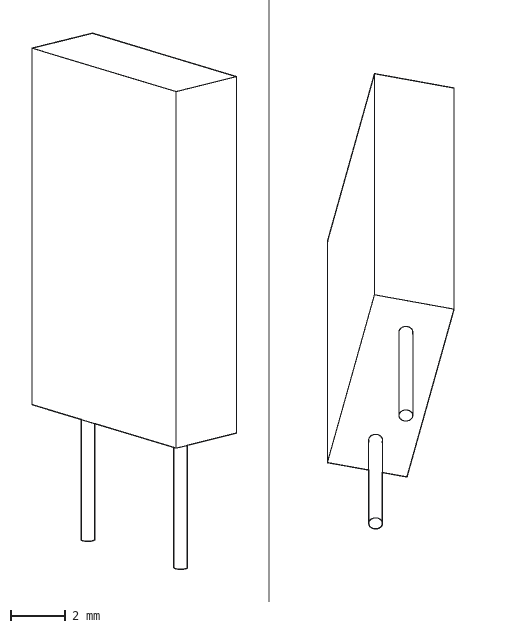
import cadquery as cq

total_height = 18.8
body_width = 7.9
body_depth = 3.0
body_height = 13.65

lead_diameter = 0.5
lead_spacing = 5.08
lead_length = total_height - body_height


def make_body():
    """Rectangular case standing on the plane Z = 0."""
    return cq.Workplane("XY").box(body_width, body_depth, body_height, centered=(True, True, False))


def make_lead(x):
    """Straight round lead hanging from the underside of the case."""
    return cq.Workplane("XY").center(x, 0).circle(lead_diameter / 2).extrude(-lead_length)


body = make_body()
leads = [make_lead(side * lead_spacing / 2) for side in (-1, 1)]

result = cq.Compound.makeCompound([body.val(), *(lead.val() for lead in leads)])